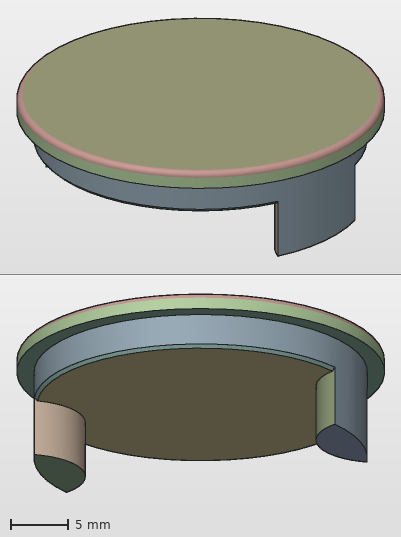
import cadquery as cq

flange_diameter = 32.0
plug_diameter = 29.0
total_height = 9.5
flange_thickness = 1.5
plug_height = 3.0
rim_fillet = 0.5
plug_chamfer = 0.3
leg_width = 10.0
leg_inner_reach = 10.7
cut_margin = 0.95

plug_radius = plug_diameter / 2
flange_bottom = total_height - flange_thickness
plug_bottom = flange_bottom - plug_height
leg_half_width = leg_width / 2
leg_corner_x = (plug_radius**2 - leg_half_width**2) ** 0.5

leg_bulge = leg_corner_x - leg_inner_reach
leg_face_radius = (leg_half_width**2 + leg_bulge**2) / (2 * leg_bulge)
leg_face_center_x = leg_inner_reach + leg_face_radius


def make_flange():
    """Disc with a rounded upper rim."""
    disc = cq.Workplane("XY").workplane(offset=flange_bottom)
    disc = disc.circle(flange_diameter / 2).extrude(flange_thickness)
    return disc.faces(">Z").edges().fillet(rim_fillet)


def make_leg_gap():
    """Material removed below the plug, leaving its chamfered edge and the two legs."""
    outer_radius = plug_radius + cut_margin
    gap = (
        cq.Workplane("XZ")
        .moveTo(0, -cut_margin)
        .lineTo(outer_radius, -cut_margin)
        .lineTo(outer_radius, plug_bottom + plug_chamfer + cut_margin)
        .lineTo(plug_radius - plug_chamfer, plug_bottom)
        .lineTo(0, plug_bottom)
        .close()
        .revolve(360, (0, 0), (0, 1))
    )
    leg_zones = (
        cq.Workplane("XY")
        .workplane(offset=-2 * cut_margin)
        .pushPoints([(-leg_face_center_x, 0), (leg_face_center_x, 0)])
        .circle(leg_face_radius)
        .extrude(total_height + 2 * cut_margin)
    )
    return gap.cut(leg_zones)


post = cq.Workplane("XY").circle(plug_radius).extrude(flange_bottom)
plug_with_legs = post.cut(make_leg_gap())

result = plug_with_legs.union(make_flange())